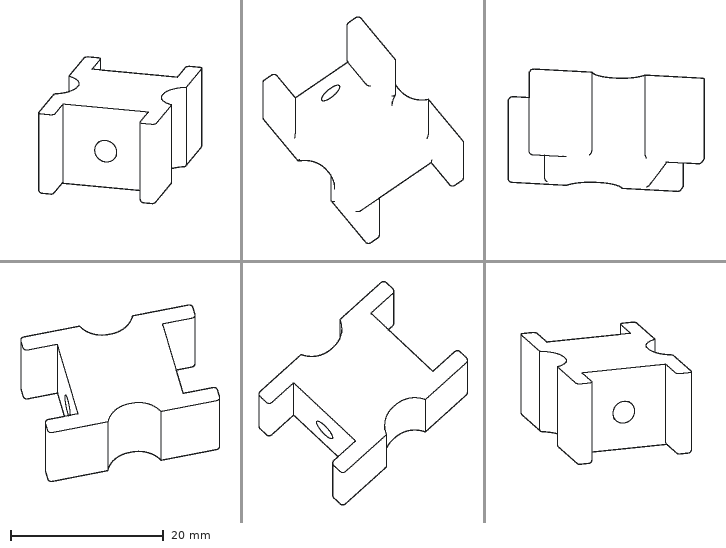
import cadquery as cq
import math

width = 16.0
length = 23.2
height = 11.2

arm_thickness = 2.2
recess_depth = 4.5

scallop_depth = arm_thickness
scallop_radius = 3.65
scallop_flat = 0.45

hole_diameter = 3.0
hole_below_top = 6.0

edge_radius = 0.5


def end_recess(side):
    """Rectangular recess in the +Y (side=1) or -Y (side=-1) end."""
    return (
        cq.Workplane("XY")
        .center(0, side * (length - recess_depth) / 2)
        .rect(width - 2 * arm_thickness, recess_depth)
        .extrude(height)
    )


def side_scallop(side):
    """Rounded groove in the +X (side=1) or -X (side=-1) face."""
    outer_x = side * width / 2
    inner_x = side * (width / 2 - scallop_depth)
    center_x = inner_x + side * scallop_radius
    half_flat = scallop_flat / 2
    center_to_face = scallop_radius - scallop_depth
    half_mouth = half_flat + math.sqrt(scallop_radius**2 - center_to_face**2)
    half_sweep = math.acos(center_to_face / scallop_radius) / 2
    mid_x = center_x - side * scallop_radius * math.cos(half_sweep)
    mid_y = half_flat + scallop_radius * math.sin(half_sweep)
    return (
        cq.Workplane("XY")
        .moveTo(outer_x, -half_mouth)
        .threePointArc((mid_x, -mid_y), (inner_x, -half_flat))
        .lineTo(inner_x, half_flat)
        .threePointArc((mid_x, mid_y), (outer_x, half_mouth))
        .close()
        .extrude(height)
    )


body = cq.Workplane("XY").box(width, length, height, centered=(True, True, False))
for side in (1, -1):
    body = body.cut(end_recess(side)).cut(side_scallop(side))

body = body.faces("<Y or >Y").edges("|Z").fillet(edge_radius)
body = body.faces("<Z").edges().fillet(edge_radius)

hole = (
    cq.Workplane("XZ")
    .center(0, height - hole_below_top)
    .circle(hole_diameter / 2)
    .extrude(length / 2, both=True)
)
result = body.cut(hole)